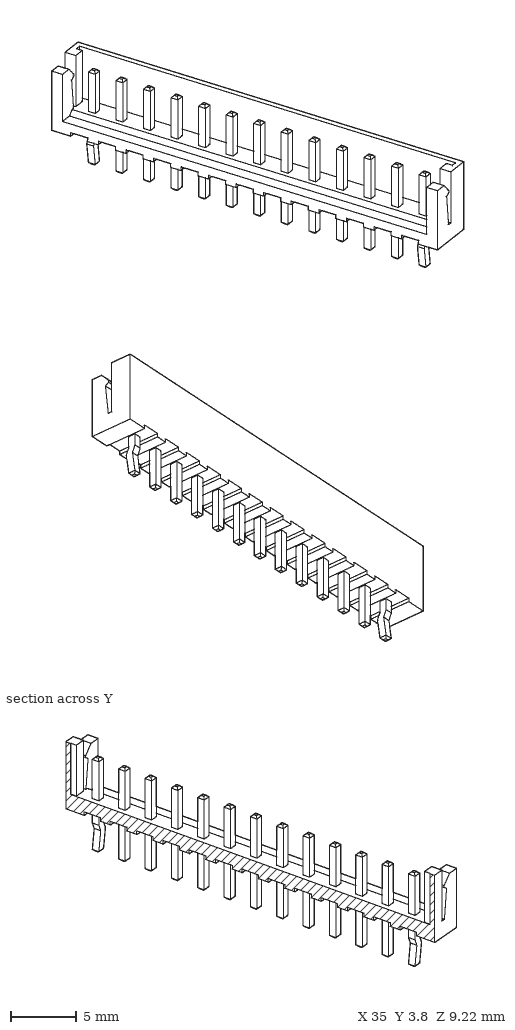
import cadquery as cq

length = 35.0
depth = 3.8
height = 6.0
front_y = -depth / 2
back_y = depth / 2

end_wall = 0.98
back_wall = 0.5
floor_top = 1.47
front_floor_top = 1.1
ramp_front_y = front_y + 1.0
ramp_back_y = ramp_front_y + 0.4

undercut_skin = 0.45
undercut_depth = 0.45

post_depth = 1.9
slot_back_y = back_y - post_depth
arm_top = 5.25
arm_crest_y = front_y + 0.95
hook_y = front_y + 1.65
hook_top = 4.48
hook_bottom = 4.3
neck_y = front_y + 1.33
neck_z = 4.1
arm_root_y = front_y + 1.6

pin_count = 13
pitch = length / (pin_count + 1)
pin_size = 0.63
pin_y = back_y - 1.68
pin_top = 5.1
pin_bottom = -3.22
tip_height = 0.18
tip_inset = tip_height

kink_start = -0.7
kink_peak = -1.3
kink_offset = 0.25

notch_width = 1.55
notch_height = 0.3

pin_positions = [(i - (pin_count - 1) / 2) * pitch for i in range(pin_count)]


def extrude_x(points, width):
    """Extrude a closed (y, z) outline symmetrically about X = 0."""
    return cq.Workplane("YZ").polyline(points).close().extrude(width / 2, both=True)


def block(x_size, y_range, z_range, x=0):
    """Box centred on x, spanning the given Y and Z ranges."""
    y_low, y_high = y_range
    z_low, z_high = z_range
    base = cq.Workplane("XY").box(x_size, y_high - y_low, z_high - z_low)
    return base.translate((x, (y_low + y_high) / 2, (z_low + z_high) / 2))


def housing():
    body = block(length, (front_y, back_y), (0, height))

    inner_y = back_y - back_wall
    interior = [
        (front_y, front_floor_top),
        (ramp_front_y, front_floor_top),
        (ramp_back_y, floor_top),
        (inner_y, floor_top),
        (inner_y, height),
        (front_y, height),
    ]
    body = body.cut(extrude_x(interior, length - 2 * end_wall))

    undercut_y = (inner_y - undercut_depth, inner_y)
    undercut_length = length - 2 * undercut_skin
    body = body.cut(block(undercut_length, undercut_y, (floor_top, height)))

    slot = [
        (slot_back_y, height),
        (slot_back_y, floor_top),
        (arm_root_y, floor_top),
        (neck_y, neck_z),
        (hook_y, hook_bottom),
        (hook_y, hook_top),
        (arm_crest_y, arm_top),
        (front_y, arm_top),
        (front_y, height),
    ]
    body = body.cut(extrude_x(slot, length))

    for x in pin_positions:
        body = body.cut(block(notch_width, (front_y, back_y), (0, notch_height), x))
    return body


def tip(z, direction):
    """Tapered pin end starting at height z; direction is +1 up or -1 down."""
    small = pin_size - 2 * tip_inset
    base = cq.Workplane("XY", origin=(0, pin_y, z)).rect(pin_size, pin_size)
    return base.workplane(offset=direction * tip_height).rect(small, small).loft()


def pin(kinked):
    pin_front = pin_y - pin_size / 2
    pin_back = pin_y + pin_size / 2
    low = pin_bottom + tip_height
    high = pin_top - tip_height
    path = [(0, low), (0, high)]
    if kinked:
        path[1:1] = [(kink_offset, kink_peak), (0, kink_start)]
    front_side = [(pin_front - offset, z) for offset, z in path]
    back_side = [(pin_back - offset, z) for offset, z in reversed(path)]
    shank = extrude_x(front_side + back_side, pin_size)
    return shank.union(tip(high, 1)).union(tip(low, -1))


result = housing()
for x in pin_positions:
    is_end_pin = x in (pin_positions[0], pin_positions[-1])
    result = result.union(pin(is_end_pin).translate((x, 0, 0)))